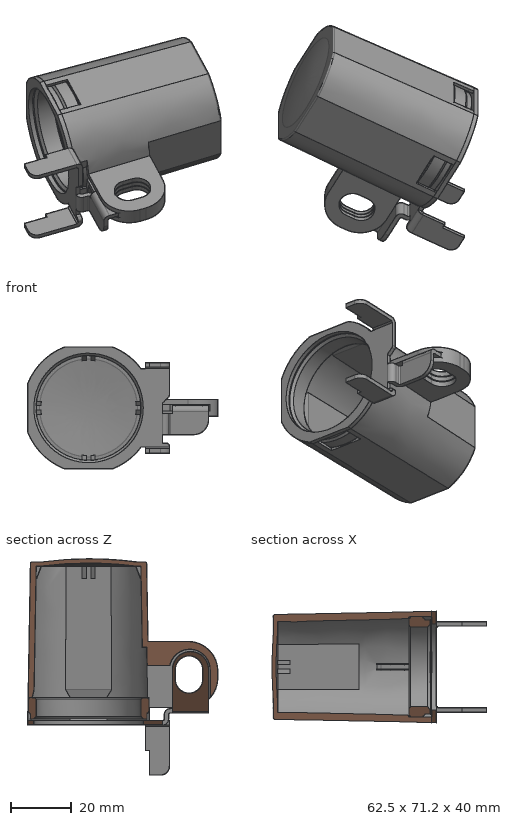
import cadquery as cq
import math


SHEET = 1.5
BEND_IN = 0.5
BEND_OUT = BEND_IN + SHEET

DRAFT = 1.0
WALL = 2.0
FLAT = 20.015
OUTER_R = 21.55
MOUTH_Y = SHEET
RIM_Y = 53.55
RIM_FILLET = 0.5
FLOOR = 1.5
FLOOR_Y = RIM_Y - FLOOR
DOME_R = 16.1
DOME_HEIGHT = 1.1

RING_FRONT_Y = 1.9
RING_BACK_Y = 8.95
RING_BORE_R = 34.35 / 2
RING_ENTRY_R = 36.0 / 2
RING_ENTRY_DEPTH = 0.9
RING_NECK_R = 38.5 / 2
RING_R = 39.8 / 2
RING_NECK_END_Y = 3.6
RING_STEP_Y = 4.4
RING_CHAMFER = 0.5

WINDOW = 12.1
SIDE_WINDOW = 9.95
LEAD_IN_Y = 11.6
LEAD_IN_FLAT = 18.5

RIB_WIDTH = 1.45
RIB_OFFSET = RIB_WIDTH
RIB_BACK_R = 15.65
RIB_LENGTH = 4.0

EAR_END_X = 42.48
EAR_CORNER_R = 9.8
EAR_Y0 = 5.7
EAR_Y1 = 27.45
EAR_MID_Y = (EAR_Y0 + EAR_Y1) / 2
EAR_HALF = 2.81
EAR_HOLE_X = 33.0
EAR_HOLE_WIDTH = 8.95
EAR_HOLE_LENGTH = 12.15
SLIT_X0 = 26.6
SLIT_X1 = 39.9
SLIT_HALF = 1.1
SLIT_INNER_END_Y = 19.5
SLIT_OVERLAP = 0.15

PLATE_BORE_R = 36.0 / 2
LUG_X = 26.6
LUG_HALF = 12.905
RECESS_X = 24.35
RECESS_TOP_Z = 1.6
RECESS_BOTTOM_Z = -11.5
RECESS_BLEND = 1.1

PIN_X0 = 18.6
PIN_STEP_X = 20.0
PIN_STEP_Y = -8.45
PIN_TIP_Y = -16.5
PIN_CORNER_R = 3.0

TAB_FRONT_Y = 3.9
TAB_TOP_Z = -1.85
TAB_BOTTOM_Z = -8.8
TAB_CORNER_R = 5.0
TONGUE_X0 = 27.5
TONGUE_X1 = 39.45
TONGUE_HALF = SHEET / 2

SHRINK = math.tan(math.radians(DRAFT))


def xz_plane(y):
    """Plane at height y facing +Y, with local x along +X and local y along -Z."""
    return cq.Workplane(cq.Plane(origin=(0, y, 0), xDir=(1, 0, 0), normal=(0, 1, 0)))


def disc(radius, y0, y1):
    return xz_plane(y0).circle(radius).extrude(y1 - y0)


def block(x0, x1, y0, y1, z0, z1):
    return cq.Workplane("XY").box(x1 - x0, y1 - y0, z1 - z0, centered=False).translate((x0, y0, z0))


def drafted_round(radius, y0, y1):
    return xz_plane(y0).circle(radius).extrude(y1 - y0, taper=DRAFT)


def drafted_square(half, y0, y1):
    return xz_plane(y0).rect(2 * half, 2 * half).extrude(y1 - y0, taper=DRAFT)


def revolved(profile):
    return profile.revolve(360, (0, 0, 0), (0, 1, 0))


def turned(shape, angle):
    return shape.rotate((0, 0, 0), (0, 1, 0), angle)


def dome(base_y):
    """Spherical cap bulging towards +Y from its flat base."""
    sphere_r = (DOME_R**2 + DOME_HEIGHT**2) / (2 * DOME_HEIGHT)
    half_angle = math.asin(DOME_R / sphere_r) / 2
    mid_x = sphere_r * math.sin(half_angle)
    mid_y = base_y + DOME_HEIGHT - sphere_r * (1 - math.cos(half_angle))
    profile = (
        cq.Workplane("XY")
        .moveTo(0, base_y)
        .lineTo(DOME_R, base_y)
        .threePointArc((mid_x, mid_y), (0, base_y + DOME_HEIGHT))
        .close()
    )
    return revolved(profile)


def cup_ribs():
    """Pairs of gussets between the four inner flats and the floor, with a conical inner face."""
    wall_r = FLAT - WALL - SHRINK * (FLOOR_Y - MOUTH_Y)
    root_r = wall_r + WALL / 2
    root_y = FLOOR_Y + FLOOR / 2
    gusset = revolved(
        cq.Workplane("XY")
        .moveTo(root_r, FLOOR_Y - RIB_LENGTH)
        .lineTo(wall_r, FLOOR_Y - RIB_LENGTH)
        .lineTo(RIB_BACK_R, FLOOR_Y)
        .lineTo(RIB_BACK_R, root_y)
        .lineTo(root_r, root_y)
        .close()
    )
    ribs = []
    for z in (-RIB_OFFSET, RIB_OFFSET):
        slab = block(0, OUTER_R, 0, RIM_Y, z - RIB_WIDTH / 2, z + RIB_WIDTH / 2)
        rib = gusset.intersect(slab)
        ribs += [turned(rib, angle) for angle in (0, 90, 180, 270)]
    return ribs


def cup_ear():
    """Ear with rounded corners, on a root where the cup keeps its full round."""
    ear = block(0, EAR_END_X, EAR_Y0, EAR_Y1, -EAR_HALF, EAR_HALF)
    ear = ear.edges("|Z and >X").fillet(EAR_CORNER_R)
    root = drafted_round(OUTER_R, MOUTH_Y, RIM_Y).intersect(
        block(0, OUTER_R, EAR_Y0, EAR_Y1, -OUTER_R / 2, OUTER_R / 2)
    )
    return root.union(ear)


def ear_hole():
    return (
        cq.Workplane("XY", origin=(EAR_HOLE_X, EAR_MID_Y, -EAR_HALF))
        .slot2D(EAR_HOLE_LENGTH, EAR_HOLE_WIDTH, 90)
        .extrude(2 * EAR_HALF)
    )


def round_ended(x0, x1, y0, half_height):
    """Flat strip from y0 to a semicircular end around the inner end of the ear hole."""
    radius = (x1 - x0) / 2
    centre_y = EAR_MID_Y + (EAR_HOLE_LENGTH - EAR_HOLE_WIDTH) / 2
    return (
        cq.Workplane("XY", origin=(0, 0, -half_height))
        .moveTo(x0, y0)
        .lineTo(x1, y0)
        .lineTo(x1, centre_y)
        .threePointArc(((x0 + x1) / 2, centre_y + radius), (x0, centre_y))
        .close()
        .extrude(2 * half_height)
    )


def ear_slit():
    """Slit for the tongue, opening into the cup through the root of the ear."""
    inner = block(0, SLIT_X0 + SLIT_OVERLAP, EAR_Y0, SLIT_INNER_END_Y, -SLIT_HALF, SLIT_HALF)
    return inner.union(round_ended(SLIT_X0, SLIT_X1, EAR_Y0, SLIT_HALF))


def cup_cavity():
    """Drafted inside with four flats, a domed floor and a full round behind the ear."""
    inner_round = drafted_round(OUTER_R - WALL, MOUTH_Y, FLOOR_Y)
    cavity = inner_round.intersect(drafted_square(FLAT - WALL, MOUTH_Y, FLOOR_Y))
    cavity = cavity.union(dome(FLOOR_Y))
    behind_ear = block(OUTER_R / 2, OUTER_R, MOUTH_Y, EAR_Y1 - WALL, -OUTER_R / 2, OUTER_R / 2)
    cavity = cavity.union(inner_round.intersect(behind_ear))
    for rib in cup_ribs():
        cavity = cavity.cut(rib)
    return cavity


def cup_lead_in():
    """Sloped start of the inner flats, just behind the ring."""
    end_flat = FLAT - WALL - SHRINK * (LEAD_IN_Y - MOUTH_Y)
    return (
        xz_plane(RING_BACK_Y)
        .rect(2 * LEAD_IN_FLAT, 2 * LEAD_IN_FLAT)
        .workplane(offset=LEAD_IN_Y - RING_BACK_Y)
        .rect(2 * end_flat, 2 * end_flat)
        .loft()
        .intersect(drafted_round(OUTER_R - WALL, MOUTH_Y, RIM_Y))
    )


def make_cup():
    body = drafted_round(OUTER_R, MOUTH_Y, RIM_Y).intersect(drafted_square(FLAT, MOUTH_Y, RIM_Y))
    body = body.faces(">Y").edges().fillet(RIM_FILLET)
    body = body.union(dome(RIM_Y)).union(cup_ear())
    body = body.cut(cup_cavity()).cut(cup_lead_in()).cut(disc(RING_R, MOUTH_Y, RING_BACK_Y))

    window = block(-WINDOW / 2, WINDOW / 2, MOUTH_Y, RING_BACK_Y, 0, OUTER_R)
    for angle in (0, 180, 270):
        body = body.cut(turned(window, angle))
    body = body.cut(block(0, OUTER_R, MOUTH_Y, EAR_Y0, -SIDE_WINDOW / 2, SIDE_WINDOW / 2))
    return body.cut(ear_slit()).cut(ear_hole())


def make_ring():
    return revolved(
        cq.Workplane("XY")
        .moveTo(RING_ENTRY_R, RING_FRONT_Y)
        .lineTo(RING_NECK_R, RING_FRONT_Y)
        .lineTo(RING_NECK_R, RING_NECK_END_Y)
        .lineTo(RING_R, RING_STEP_Y)
        .lineTo(RING_R, RING_BACK_Y - RING_CHAMFER)
        .lineTo(RING_R - RING_CHAMFER, RING_BACK_Y)
        .lineTo(RING_BORE_R + RING_CHAMFER, RING_BACK_Y)
        .lineTo(RING_BORE_R, RING_BACK_Y - RING_CHAMFER)
        .lineTo(RING_BORE_R, RING_FRONT_Y + RING_ENTRY_DEPTH)
        .close()
    )


def terminal_plate():
    """Flat plate around the mouth, with a lug that carries the pins and the tab."""
    plate = disc(OUTER_R, 0, SHEET).intersect(block(-FLAT, OUTER_R, 0, SHEET, -FLAT, FLAT))
    lug = (
        cq.Workplane("XZ")
        .polyline([
            (0, -LUG_HALF),
            (LUG_X, -LUG_HALF),
            (LUG_X, RECESS_BOTTOM_Z),
            (RECESS_X, RECESS_BOTTOM_Z),
            (RECESS_X, RECESS_TOP_Z),
            (LUG_X, RECESS_TOP_Z + LUG_X - RECESS_X),
            (LUG_X, LUG_HALF),
            (0, LUG_HALF),
        ])
        .close()
        .extrude(-SHEET)
    )
    recess_corners = cq.selectors.BoxSelector(
        (LUG_X - 0.7, -0.7, RECESS_BOTTOM_Z - 0.7), (LUG_X + 0.7, SHEET + 0.7, LUG_HALF - 0.7)
    )
    lug = lug.edges("|Y").edges(recess_corners).fillet(RECESS_BLEND)
    return plate.union(lug).cut(disc(PLATE_BORE_R, 0, SHEET))


def terminal_pin():
    """Pin bent forward off the top edge of the lug."""
    pin = (
        cq.Workplane("YZ", origin=(PIN_X0, 0, 0))
        .moveTo(0, LUG_HALF)
        .radiusArc((-BEND_IN, LUG_HALF + BEND_IN), BEND_IN)
        .lineTo(PIN_TIP_Y, LUG_HALF + BEND_IN)
        .lineTo(PIN_TIP_Y, LUG_HALF + BEND_OUT)
        .lineTo(-BEND_IN, LUG_HALF + BEND_OUT)
        .radiusArc((SHEET, LUG_HALF), BEND_OUT)
        .close()
        .extrude(LUG_X - PIN_X0)
    )
    pin = pin.edges("|Z and >X and <Y").fillet(PIN_CORNER_R)
    return pin.cut(block(PIN_X0, PIN_STEP_X, PIN_TIP_Y, PIN_STEP_Y, 0, FLAT))


def terminal_tab():
    """Neck bent back off the lug, then a tab bent sideways, then a tongue bent into the ear."""
    neck_x = RECESS_X + BEND_OUT
    tab_back_y = TAB_FRONT_Y + SHEET
    strip = (
        cq.Workplane("XY", origin=(0, 0, TAB_BOTTOM_Z))
        .moveTo(RECESS_X, 0)
        .radiusArc((neck_x, BEND_OUT), -BEND_OUT)
        .lineTo(neck_x, TAB_FRONT_Y - BEND_IN)
        .radiusArc((neck_x + BEND_IN, TAB_FRONT_Y), BEND_IN)
        .lineTo(TONGUE_X1, TAB_FRONT_Y)
        .lineTo(TONGUE_X1, tab_back_y)
        .lineTo(neck_x + BEND_IN, tab_back_y)
        .radiusArc((neck_x - SHEET, TAB_FRONT_Y - BEND_IN), -BEND_OUT)
        .lineTo(neck_x - SHEET, BEND_OUT)
        .radiusArc((RECESS_X, SHEET), BEND_IN)
        .close()
        .extrude(TAB_TOP_Z - TAB_BOTTOM_Z)
    )
    strip = strip.edges("|Y and >X and <Z").fillet(TAB_CORNER_R)

    bend_z = TONGUE_HALF - BEND_OUT
    bend_end_y = TAB_FRONT_Y + BEND_OUT
    tongue = (
        cq.Workplane("YZ", origin=(TONGUE_X0, 0, 0))
        .moveTo(TAB_FRONT_Y, TAB_TOP_Z)
        .lineTo(TAB_FRONT_Y, bend_z)
        .radiusArc((bend_end_y, TONGUE_HALF), BEND_OUT)
        .lineTo(EAR_MID_Y, TONGUE_HALF)
        .lineTo(EAR_MID_Y, -TONGUE_HALF)
        .lineTo(bend_end_y, -TONGUE_HALF)
        .radiusArc((tab_back_y, bend_z), -BEND_IN)
        .lineTo(tab_back_y, TAB_TOP_Z)
        .close()
        .extrude(TONGUE_X1 - TONGUE_X0)
    )
    tongue = tongue.union(round_ended(TONGUE_X0, TONGUE_X1, bend_end_y, TONGUE_HALF))
    return strip.union(tongue.cut(ear_hole()))


def make_terminal():
    pin = terminal_pin()
    return terminal_plate().union(pin).union(pin.mirror("XY")).union(terminal_tab())


cup = make_cup()
ring = make_ring()
terminal = make_terminal()

result = cq.Compound.makeCompound([
    *cup.solids().vals(),
    *ring.solids().vals(),
    *terminal.solids().vals(),
])